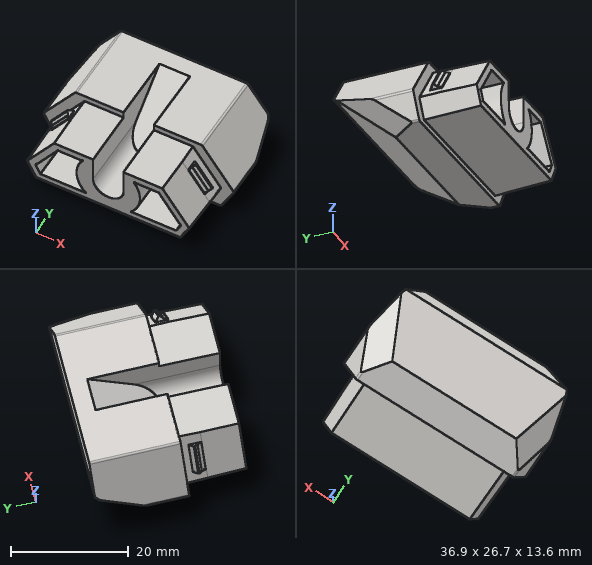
import cadquery as cq
import math

body_height = 13.6
body_length = 16.0
neck_length = 10.67

body_top_half_width = 12.3
body_wide_half_width = 18.56
body_bottom_half_width = 16.0
body_wide_height = 4.85
body_edge_radius = 0.5

back_slope = 0.8
back_edge_height = 7.97
corner_cut_start = 15.25
corner_cut_at_wide_edge = 7.65
corner_cut_at_bottom = 1.35

neck_top_half_width = 10.65
neck_wide_half_width = 16.06
neck_bottom_half_width = 14.19
neck_top = 12.3
neck_wide_height = 4.7
neck_bottom = 1.13
draft_angle = 1.25

slot_radius = 2.95
slot_axis_height = 7.0
slot_top_end = 12.6

slot_wall = 3.22
pocket_top_half_width = 9.82
pocket_wide_half_width = 14.14
pocket_bottom_half_width = 13.2
pocket_top = 10.6
pocket_wide_height = 4.48
pocket_bottom = 2.7
pocket_depth = neck_length

pad_length = 3.85
rib_start = 1.5
rib_crest_start = 2.25
rib_crest_end = 2.5
rib_bend = 3.0
rib_end = 3.75
rib_height = 0.95
rib_bend_height = 0.4
rib_end_height = 0.1
rib_bottom = 6.25
rib_length = 5.44

clearance = 5.0
embed = 0.3
large = 60.0


def six_sided(top_half, wide_half, bottom_half, top, wide_height, bottom, plane):
    """Closed six-sided outline, symmetric about X = 0, drawn on an XZ plane."""
    right = [(bottom_half, bottom), (wide_half, wide_height), (top_half, top)]
    left = [(-x, z) for x, z in reversed(right)]
    return plane.polyline(right + left).close()


def mirrored_pair(shape):
    return shape.union(shape.mirror("YZ"))


def make_body():
    outline = six_sided(
        body_top_half_width, body_wide_half_width, body_bottom_half_width,
        body_height, body_wide_height, 0, cq.Workplane("XZ"),
    )
    body = outline.extrude(-body_length).edges("|Y").fillet(body_edge_radius)
    return body.cut(back_cutter()).cut(mirrored_pair(corner_cutter()))


def back_cutter():
    """Wedge below the sloped underside."""
    run = back_edge_height / back_slope + clearance
    drop = run * back_slope
    corner_y = body_length - run
    return (
        cq.Workplane("YZ")
        .moveTo(body_length, back_edge_height)
        .lineTo(corner_y, back_edge_height - drop)
        .lineTo(body_length, back_edge_height - drop)
        .close()
        .extrude(large / 2, both=True)
    )


def corner_cutter():
    """Block beyond the slanted plane that trims the +X lower back corner."""
    start_height = back_edge_height - back_slope * (body_length - corner_cut_start)
    side_run = body_wide_half_width - body_top_half_width
    side_rise = body_height - body_wide_height
    start_x = body_top_half_width + (body_height - start_height) * side_run / side_rise
    start = cq.Vector(start_x, corner_cut_start, start_height)
    middle = cq.Vector(body_wide_half_width, corner_cut_at_wide_edge, body_wide_height)
    end = cq.Vector(body_bottom_half_width, corner_cut_at_bottom, 0)
    along = end - middle
    outward = along.cross(start - middle)
    if outward.z > 0:
        outward = outward * -1
    plane = cq.Plane(origin=middle, xDir=along, normal=outward)
    return cq.Workplane(plane).rect(large, large).extrude(large)


def pad_plane():
    """Section plane of the +X rib: local X runs to the tip, local Y out of the pad."""
    run = neck_wide_half_width - neck_top_half_width
    rise = neck_top - neck_wide_height
    slant = math.hypot(run, rise)
    inset = pad_length * math.tan(math.radians(draft_angle))
    face_x = neck_wide_half_width - (rib_bottom - neck_wide_height) * run / rise
    return cq.Plane(
        origin=(face_x - inset * rise / slant, 0, rib_bottom - inset * run / slant),
        xDir=(0, -1, 0),
        normal=(-run, 0, rise),
    )


def make_neck():
    outline = six_sided(
        neck_top_half_width, neck_wide_half_width, neck_bottom_half_width,
        neck_top, neck_wide_height, neck_bottom, cq.Workplane("XZ"),
    )
    neck = outline.extrude(neck_length, taper=draft_angle)
    pad_cut = (
        cq.Workplane(pad_plane())
        .rect(pad_length, clearance, centered=False)
        .extrude(large / 2, both=True)
    )
    return neck.cut(mirrored_pair(pad_cut))


def make_rib():
    return (
        cq.Workplane(pad_plane())
        .moveTo(rib_start, -embed)
        .lineTo(rib_start, 0)
        .lineTo(rib_crest_start, rib_height)
        .lineTo(rib_crest_end, rib_height)
        .lineTo(rib_bend, rib_bend_height)
        .lineTo(rib_end, rib_end_height)
        .lineTo(rib_end, -embed)
        .close()
        .extrude(rib_length)
    )


def slot_cutter():
    """U-section channel whose inner end rises along a ramp."""
    channel = (
        cq.Workplane("XZ", origin=(0, -neck_length, 0))
        .moveTo(-slot_radius, body_height)
        .lineTo(-slot_radius, slot_axis_height)
        .threePointArc((0, slot_axis_height - slot_radius), (slot_radius, slot_axis_height))
        .lineTo(slot_radius, body_height)
        .close()
        .extrude(-neck_length - body_length)
    )
    ramp_foot = slot_top_end - body_height / back_slope
    ramp_side = (
        cq.Workplane("YZ")
        .moveTo(-neck_length, 0)
        .lineTo(ramp_foot, 0)
        .lineTo(slot_top_end, body_height)
        .lineTo(-neck_length, body_height)
        .close()
        .extrude(slot_radius, both=True)
    )
    return channel.intersect(ramp_side)


def pocket_cutter():
    """Pair of pockets left in a six-sided recess by the round wall of the slot."""
    tip = cq.Workplane("XZ", origin=(0, -neck_length, 0))
    recess = six_sided(
        pocket_top_half_width, pocket_wide_half_width, pocket_bottom_half_width,
        pocket_top, pocket_wide_height, pocket_bottom, tip,
    ).extrude(-pocket_depth)
    wall = tip.center(0, slot_axis_height).circle(slot_radius + slot_wall).extrude(-pocket_depth)
    return recess.cut(wall)


result = (
    make_body()
    .union(make_neck())
    .union(mirrored_pair(make_rib()))
    .cut(pocket_cutter())
    .cut(slot_cutter())
)